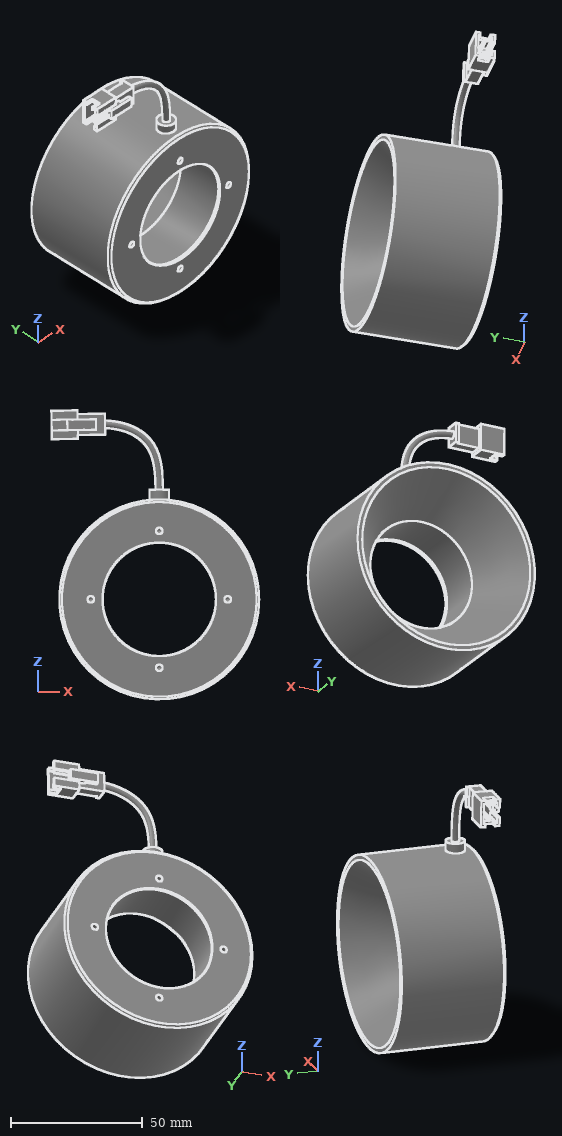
import cadquery as cq
import math

ring_radius = 38.0
ring_length = 42.0
ring_chamfer = 1.0
lip_radius = 21.5
lip_length = 1.0
bore_radius = 21.75
bore_end = 21.4
flare_radius = 36.0

hole_diameter = 2.5
hole_depth = 8.0
hole_circle_radius = 26.0
hole_count = 4
drill_tip_angle = 118.0

gland_radius = 3.75
gland_top = 41.7
cable_radius = 1.5
cable_y = 7.5
cable_bend_point = (-4.4, 59.8)
cable_end = (-22.6, 66.6)

shell_length = 10.0
shell_width = 7.6
shell_height = 10.8
shell_front = -shell_width / 2

cavity_depth = 8.0
cavity_width = 5.4
cavity_height = 8.2
notch_depth = 3.1
notch_width = 4.0

body_end = 20.4
body_height = 8.0
body_width = 4.9
body_front = shell_front + 0.9

ridge_length = 1.3
ridge_height = 1.0

latch_start = 6.0
latch_length = 10.9
latch_width = 4.0
latch_thickness = 1.6
latch_front = shell_front - 1.6
latch_web_end = 12.4
latch_hook_width = 1.9
latch_hook_depth = 3.1
latch_hook_chamfer = 0.7

pin_start = 1.2
pin_thickness = 0.6
pin_height = 1.2
pin_spacing = 5.6
pin_insertion = 1.0
pin_end = cavity_depth + pin_insertion

connector_pitch = -0.95
connector_roll = 1.0
connector_origin = (-40.95, 7.42, 66.257)


def box(x_range, y_range, z_range):
    """Box between the given limits on each axis."""
    size = [high - low for low, high in (x_range, y_range, z_range)]
    corner = (x_range[0], y_range[0], z_range[0])
    return cq.Workplane("XY").box(*size, centered=False).translate(corner)


def centred(size):
    """Limits of a span of the given size about zero."""
    return (-size / 2, size / 2)


def place_connector(shape):
    """Move a shape from the connector frame to its place at the cable end."""
    rolled = shape.rotate((0, 0, 0), (1, 0, 0), connector_roll)
    pitched = rolled.rotate((0, 0, 0), (0, 1, 0), connector_pitch)
    return pitched.translate(connector_origin)


def make_ring():
    """Ring with a lipped bore that flares out towards the back."""
    profile = [
        (lip_radius, 0),
        (ring_radius - ring_chamfer, 0),
        (ring_radius, ring_chamfer),
        (ring_radius, ring_length),
        (flare_radius, ring_length),
        (bore_radius, bore_end),
        (bore_radius, lip_length),
        (lip_radius, lip_length),
    ]
    body = cq.Workplane("XY").polyline(profile).close().revolve(360, (0, 0, 0), (0, 1, 0))

    hole_radius = hole_diameter / 2
    tip_length = hole_radius / math.tan(math.radians(drill_tip_angle / 2))
    hole_profile = [
        (0, 0),
        (hole_radius, 0),
        (hole_radius, hole_depth),
        (0, hole_depth + tip_length),
    ]
    drill = cq.Workplane("XY").polyline(hole_profile).close().revolve(360, (0, 0, 0), (0, 1, 0))
    first_hole = drill.translate((hole_circle_radius, 0, 0))
    for i in range(hole_count):
        body = body.cut(first_hole.rotate((0, 0, 0), (0, 1, 0), i * 360 / hole_count))
    return body


def make_gland():
    """Round gland whose underside is saddled to the ring's outside."""
    gland = cq.Workplane("XY").center(0, cable_y).circle(gland_radius).extrude(gland_top)
    ring_envelope = cq.Workplane("XZ").circle(ring_radius).extrude(-ring_length)
    return gland.cut(ring_envelope)


def make_cable():
    """Cable rising from the gland and bending over into the connector."""
    path_points = [(0, gland_top), cable_bend_point, cable_end]
    path = (
        cq.Workplane("XZ", origin=(0, cable_y, 0))
        .spline(path_points, tangents=[(0, 1), (-1, 0)])
    )
    section = cq.Workplane("XY", origin=(0, cable_y, gland_top)).circle(cable_radius)
    return section.sweep(path)


def make_pins():
    """Two flat contact pins, one above the other."""
    pins = []
    for side in (-1, 1):
        pin = box((pin_start, pin_end), centred(pin_thickness), centred(pin_height))
        pins.append(place_connector(pin.translate((0, 0, side * pin_spacing / 2))))
    return pins


def make_connector(cable, pins):
    """Connector shell and body with its latch, holed for the cable and pins."""
    shell = box((0, shell_length), centred(shell_width), centred(shell_height))
    cavity = box((0, cavity_depth), centred(cavity_width), centred(cavity_height))
    notch = box((0, notch_depth), centred(notch_width), centred(shell_height))
    slot = box((0, cavity_depth), (shell_front, 0), centred(latch_width))
    shell = shell.cut(cavity).cut(notch).cut(slot)

    body_back = body_front + body_width
    body = box((cavity_depth, body_end), (body_front, body_back), centred(body_height))
    ridge = box(
        (body_end - ridge_length, body_end),
        (body_back, body_back + ridge_height),
        centred(body_height),
    )

    latch = box(
        (latch_start, latch_start + latch_length),
        (latch_front, latch_front + latch_thickness),
        centred(latch_width),
    )
    latch_web = box((cavity_depth, latch_web_end), (latch_front, body_front), centred(latch_width))
    latch_hook = box(
        (latch_start, cavity_depth),
        (latch_front, latch_front + latch_hook_depth),
        centred(latch_hook_width),
    )
    latch_hook = latch_hook.edges("<X and >Y").chamfer(latch_hook_chamfer)
    latch = latch.union(latch_web).union(latch_hook)
    connector = place_connector(shell.union(body).union(ridge).union(latch))

    for inserted in [cable, *pins]:
        connector = connector.cut(inserted)
    return connector


ring = make_ring()
gland = make_gland()
cable = make_cable()
pins = make_pins()
connector = make_connector(cable, pins)

result = cq.Compound.makeCompound([
    ring.val(),
    gland.val(),
    cable.val(),
    connector.val(),
    *[pin.val() for pin in pins],
])